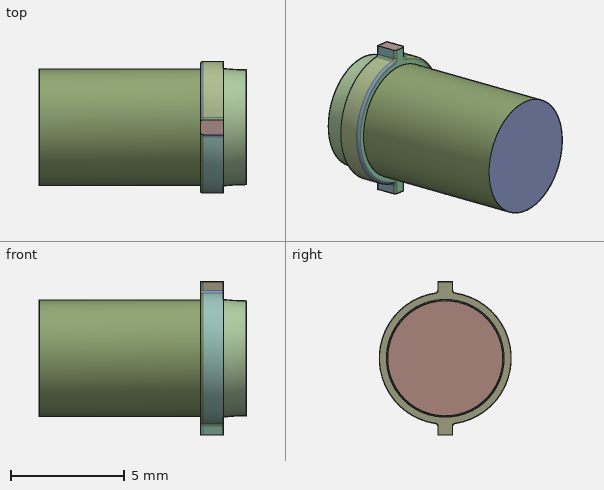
import cadquery as cq

length = 9.14
body_diameter = 5.15

collar_start = 7.11
collar_width = 1.01
collar_diameter = 5.82
key_span = 6.76
key_width = 0.66
root_radius = 0.11
front_edge_radius = 0.12

tail_root_diameter = 5.19
tail_end_diameter = 5.07

collar_end = collar_start + collar_width


def make_body():
    """Plain cylinder running from the front face through the collar."""
    return cq.Workplane("YZ").circle(body_diameter / 2).extrude(collar_end)


def make_collar():
    """Ring and keys with blended roots and a rounded front rim."""
    plane = cq.Workplane("YZ").workplane(offset=collar_start)
    ring = plane.circle(collar_diameter / 2).extrude(collar_width)
    keys = plane.rect(key_width, key_span).extrude(collar_width)
    collar = ring.union(keys)

    root_box = cq.selectors.BoxSelector(
        (collar_start, -key_width, -collar_diameter / 2),
        (collar_end, key_width, collar_diameter / 2),
    )
    collar = collar.edges("|X").edges(root_box).fillet(root_radius)

    rim = collar.faces("<X").edges().edges("not(<Z or >Z)")
    return rim.fillet(front_edge_radius)


def make_tail():
    """Revolved tail whose concave flank becomes parallel to X at its end."""
    tail_root_radius = tail_root_diameter / 2
    tail_end_radius = tail_end_diameter / 2
    tail_middle_radius = tail_end_radius + (tail_root_radius - tail_end_radius) / 4
    tail_middle = (collar_end + length) / 2
    profile = (
        cq.Workplane("XY")
        .moveTo(length, 0)
        .lineTo(length, tail_end_radius)
        .threePointArc((tail_middle, tail_middle_radius), (collar_end, tail_root_radius))
        .lineTo(collar_end, 0)
        .close()
    )
    return profile.revolve(360, (0, 0, 0), (1, 0, 0))


result = make_body().union(make_collar()).union(make_tail())